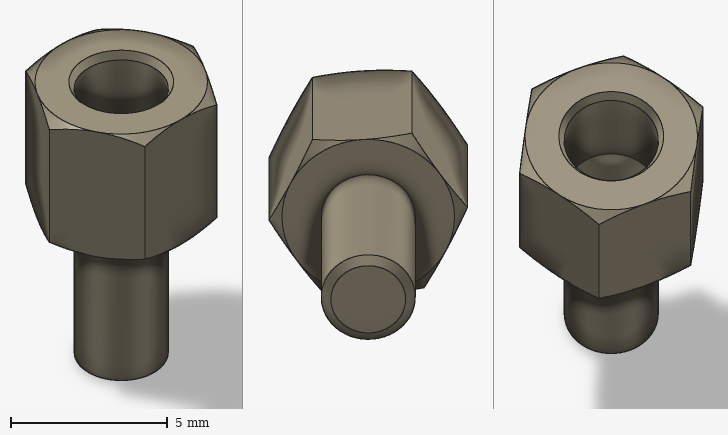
import cadquery as cq
import math

total_height = 11.0
hex_height = 5.0
across_corners = 6.36
across_flats = across_corners * math.cos(math.radians(30))
hex_chamfer_angle = 30.0

stud_radius = 3.0 / 2
stud_height = total_height - hex_height
tip_chamfer_height = 0.16
tip_chamfer_width = 0.31

bore_radius = 3.0 / 2
bore_depth = 3.52
drill_tip_angle = 120.0
countersink_radius = 1.67
countersink_depth = 0.26


def revolve_profile(points):
    """Turn a closed (radius, height) outline about the Z axis."""
    return cq.Workplane("XZ").polyline(points).close().revolve(360, (0, 0, 0), (0, 1, 0))


def make_hex_body():
    """Hexagon with corners on X, its ends turned down by a conical chamfer."""
    prism = (
        cq.Workplane("XY")
        .workplane(offset=stud_height)
        .polygon(6, across_corners)
        .extrude(hex_height)
    )
    face_radius = across_flats / 2
    outer_radius = across_corners
    drop = (outer_radius - face_radius) * math.tan(math.radians(hex_chamfer_angle))
    envelope = revolve_profile([
        (0, stud_height),
        (face_radius, stud_height),
        (outer_radius, stud_height + drop),
        (outer_radius, total_height - drop),
        (face_radius, total_height),
        (0, total_height),
    ])
    return prism.intersect(envelope)


def make_stud():
    """Round stud with a shallow chamfer at its tip."""
    return revolve_profile([
        (0, 0),
        (stud_radius - tip_chamfer_width, 0),
        (stud_radius, tip_chamfer_height),
        (stud_radius, stud_height),
        (0, stud_height),
    ])


def make_bore():
    """Countersunk blind hole ending in a drill cone."""
    bore_floor = total_height - bore_depth
    tip_depth = bore_radius / math.tan(math.radians(drill_tip_angle / 2))
    return revolve_profile([
        (0, total_height),
        (countersink_radius, total_height),
        (bore_radius, total_height - countersink_depth),
        (bore_radius, bore_floor),
        (0, bore_floor - tip_depth),
    ])


result = make_hex_body().union(make_stud()).cut(make_bore())